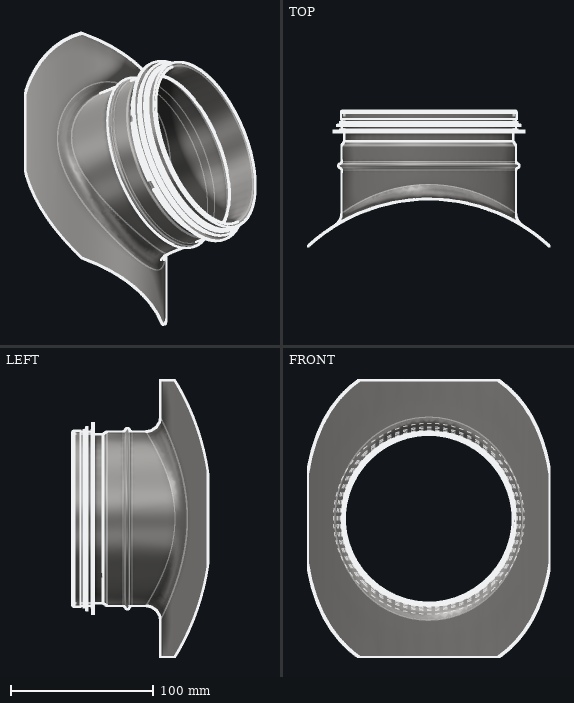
import cadquery as cq
import math


SHEET = 0.5
DUCT_RADIUS = 125.0
SADDLE_OUTER_RADIUS = DUCT_RADIUS + SHEET
SADDLE_WIDTH = 170.0
SADDLE_LENGTH = 195.0
FLARE_RADIUS = 10.0
SIDE_EDGE_Y = math.sqrt(DUCT_RADIUS**2 - (SADDLE_WIDTH / 2) ** 2)
SIDE_STRAIGHT_HALF = 31.6
CORNER_RISE = 23.6
CORNER_BULGE = 3.6

TOTAL_DEPTH = 95.75
END_Y = SIDE_EDGE_Y + TOTAL_DEPTH
TUBE_OUTER = 123.05 / 2
TUBE_INNER = TUBE_OUTER - SHEET
NECK_OUTER = 119.25 / 2
NECK_INNER = NECK_OUTER - SHEET
HEM_OUTER = 124.05 / 2
HEM_INNER = HEM_OUTER - SHEET
FOLD_RADIUS = (HEM_OUTER - NECK_INNER) / 2
HEM_END = 5.9
SHOULDER_START = 21.6
SHOULDER_END = 24.4
SHOULDER_BLEND = 1.0
BEAD_DEPTH = 38.8
BEAD_HALF_WIDTH = 3.1
BEAD_HEIGHT = 2.3

GASKET_INNER = 120.45 / 2
RIB_RADIUS = 62.6
RIB_START = 7.9
RIB_END = 8.7
SMALL_FIN_RADIUS = 129.45 / 2
SMALL_FIN_ROOT = 9.2
SMALL_FIN_START = 10.0
SMALL_FIN_END = 10.9
LARGE_FIN_RADIUS = 134.45 / 2
LARGE_FIN_START = 13.9
LARGE_FIN_END = 15.2
FOOT_START = 13.4


def at(radius, depth):
    """Profile point at a radius from the spigot axis and a depth below the spigot end."""
    return (radius, END_Y - depth)


def revolve_about_spigot(profile):
    return profile.close().revolve(360, (0, 0, 0), (0, 1, 0))


def flared_form(duct_radius, tube_radius, flare_radius):
    """Solid half duct with a round branch along +Y, blended where they meet."""
    duct = (
        cq.Workplane("XY")
        .workplane(offset=-SADDLE_LENGTH / 2)
        .moveTo(-duct_radius, 0)
        .threePointArc((0, duct_radius), (duct_radius, 0))
        .close()
        .extrude(SADDLE_LENGTH)
    )
    branch_top = END_Y - SHOULDER_END
    branch = cq.Workplane("XZ").circle(tube_radius).extrude(-branch_top)
    joined = duct.union(branch)
    seam = joined.edges("not(%CIRCLE or %LINE)")
    return seam.fillet(flare_radius)


def trim_form():
    """Block as wide as the saddle whose lower side curves up to round the four corners."""
    half_length = SADDLE_LENGTH / 2
    corner_y = SIDE_EDGE_Y + CORNER_RISE
    return (
        cq.Workplane("YZ")
        .moveTo(END_Y, -half_length)
        .lineTo(corner_y, -half_length)
        .sagittaArc((SIDE_EDGE_Y, -SIDE_STRAIGHT_HALF), CORNER_BULGE)
        .lineTo(SIDE_EDGE_Y, SIDE_STRAIGHT_HALF)
        .sagittaArc((corner_y, half_length), CORNER_BULGE)
        .lineTo(END_Y, half_length)
        .close()
        .extrude(SADDLE_WIDTH / 2, both=True)
    )


def make_saddle():
    """Curved sheet with the flared collar, trimmed to its outline."""
    outside = flared_form(SADDLE_OUTER_RADIUS, TUBE_OUTER, FLARE_RADIUS)
    inside = flared_form(DUCT_RADIUS, TUBE_INNER, FLARE_RADIUS + SHEET)
    return outside.cut(inside).intersect(trim_form())


def make_spigot_end():
    """Necked tube end, folded back outwards into a rounded hem."""
    fold_centre = NECK_INNER + FOLD_RADIUS
    profile = (
        cq.Workplane("XY")
        .moveTo(*at(TUBE_INNER, SHOULDER_END))
        .lineTo(*at(NECK_INNER, SHOULDER_START))
        .lineTo(*at(NECK_INNER, FOLD_RADIUS))
        .threePointArc(at(fold_centre, 0), at(HEM_OUTER, FOLD_RADIUS))
        .lineTo(*at(HEM_OUTER, HEM_END))
        .lineTo(*at(HEM_INNER, HEM_END))
        .lineTo(*at(HEM_INNER, FOLD_RADIUS))
        .threePointArc(at(fold_centre, SHEET), at(NECK_OUTER, FOLD_RADIUS))
        .lineTo(*at(NECK_OUTER, SHOULDER_START))
        .lineTo(*at(TUBE_OUTER, SHOULDER_END))
    )
    return revolve_about_spigot(profile)


def make_bead():
    """Round bead whose crown and two foot blends share one radius."""
    slope = 2 * math.atan(BEAD_HEIGHT / BEAD_HALF_WIDTH)
    blend = BEAD_HALF_WIDTH / 2 / math.sin(slope)
    foot_rise = blend * (1 - math.cos(slope / 2))
    foot_run = blend * math.sin(slope / 2)
    half_rise = TUBE_OUTER + BEAD_HEIGHT / 2
    half_run = BEAD_HALF_WIDTH / 2
    upper_foot = BEAD_DEPTH - BEAD_HALF_WIDTH
    lower_foot = BEAD_DEPTH + BEAD_HALF_WIDTH
    root = TUBE_OUTER - SHEET / 2
    profile = (
        cq.Workplane("XY")
        .moveTo(*at(root, upper_foot))
        .lineTo(*at(TUBE_OUTER, upper_foot))
        .threePointArc(
            at(TUBE_OUTER + foot_rise, upper_foot + foot_run),
            at(half_rise, BEAD_DEPTH - half_run),
        )
        .threePointArc(at(TUBE_OUTER + BEAD_HEIGHT, BEAD_DEPTH), at(half_rise, BEAD_DEPTH + half_run))
        .threePointArc(
            at(TUBE_OUTER + foot_rise, lower_foot - foot_run),
            at(TUBE_OUTER, lower_foot),
        )
        .lineTo(*at(root, lower_foot))
    )
    return revolve_about_spigot(profile)


def make_gasket():
    """Lip seal held inside the hem, with a rib and two fins."""
    profile = (
        cq.Workplane("XY")
        .moveTo(*at(GASKET_INNER, LARGE_FIN_END))
        .lineTo(*at(GASKET_INNER, FOLD_RADIUS))
        .lineTo(*at(HEM_INNER, FOLD_RADIUS))
        .lineTo(*at(HEM_INNER, RIB_START))
        .lineTo(*at(RIB_RADIUS, RIB_START))
        .lineTo(*at(RIB_RADIUS, RIB_END))
        .lineTo(*at(HEM_INNER, RIB_END))
        .lineTo(*at(HEM_INNER, SMALL_FIN_ROOT))
        .lineTo(*at(SMALL_FIN_RADIUS, SMALL_FIN_START))
        .lineTo(*at(SMALL_FIN_RADIUS, SMALL_FIN_END))
        .lineTo(*at(HEM_INNER, SMALL_FIN_END))
        .lineTo(*at(HEM_INNER, FOOT_START))
        .lineTo(*at(RIB_RADIUS, FOOT_START))
        .lineTo(*at(RIB_RADIUS, LARGE_FIN_START))
        .lineTo(*at(LARGE_FIN_RADIUS, LARGE_FIN_START))
        .lineTo(*at(LARGE_FIN_RADIUS, LARGE_FIN_END))
    )
    return revolve_about_spigot(profile)


def blend_shoulder(body):
    """Round the bends at both ends of the shoulder, inside and outside the tube."""
    margin = 0.1
    reach = TUBE_OUTER + margin
    shoulder_zone = cq.selectors.BoxSelector(
        (-reach, END_Y - SHOULDER_END - margin, -reach),
        (reach, END_Y - SHOULDER_START + margin, reach),
    )
    return body.edges(shoulder_zone).edges("%CIRCLE").fillet(SHOULDER_BLEND)


fitting = blend_shoulder(make_saddle().union(make_spigot_end()).union(make_bead()))
gasket = make_gasket()

result = cq.Compound.makeCompound([fitting.val(), gasket.val()])